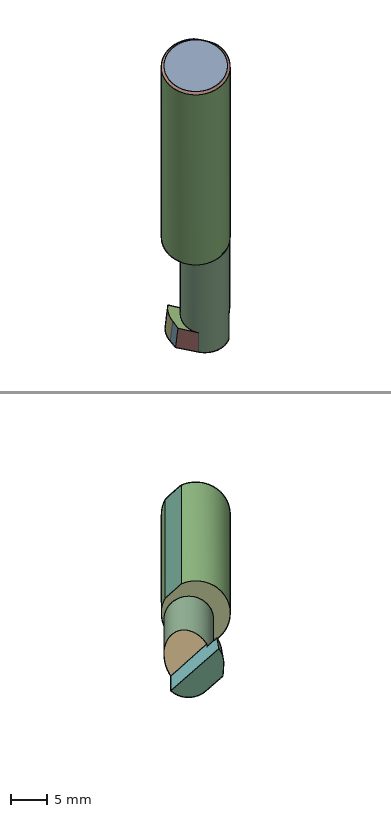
import cadquery as cq
import math

total_length = 63.5

shank_diameter = 9.5
shank_flat_y = 4.5
shank_chamfer_width = 0.4
shank_chamfer_height = 0.25

neck_length = 22.85
neck_diameter = 6.85
neck_radius = neck_diameter / 2
neck_x = shank_diameter / 2 - neck_radius

relief_height = 6.35

head_height = 5.2
tip_x = -4.4
heel_x = -3.0
heel_y = -2.5
front_corner_x = -2.0
flank_bulge = 0.25
flank_setback = 0.4
end_rise_along_x_deg = 2.5
end_rise_along_y_deg = 6.0


def make_shank():
    shank_length = total_length - neck_length
    shank = (
        cq.Workplane("XY", origin=(0, 0, neck_length))
        .circle(shank_diameter / 2)
        .extrude(shank_length)
        .faces(">Z")
        .chamfer(shank_chamfer_height, shank_chamfer_width)
    )
    flat_cutter = cq.Workplane("XY", origin=(0, shank_flat_y, neck_length)).box(
        shank_diameter, shank_diameter, shank_length, centered=(True, False, False)
    )
    return shank.cut(flat_cutter)


def make_neck():
    neck = cq.Workplane("XY").center(neck_x, 0).circle(neck_radius).extrude(neck_length)
    relief = (
        cq.Workplane("YZ", origin=(neck_x, 0, 0))
        .moveTo(0, 0)
        .lineTo(neck_diameter, 0)
        .lineTo(neck_diameter, relief_height + neck_diameter)
        .lineTo(0, relief_height)
        .close()
        .extrude(neck_radius, both=True)
    )
    return neck.cut(relief)


def head_section(height, setback):
    """Closed head outline whose flank is moved toward +X by the setback."""
    tip = cq.Vector(tip_x + setback, 0, height)
    heel = cq.Vector(heel_x + setback, heel_y, height)
    front_corner = cq.Vector(front_corner_x + setback, -neck_radius, height)
    neck_front = cq.Vector(neck_x, -neck_radius, height)
    neck_middle = cq.Vector(neck_x, 0, height)
    chord = heel - tip
    outward = cq.Vector(chord.y, -chord.x, 0).normalized()
    flank_middle = (tip + heel) * 0.5 + outward * flank_bulge
    return cq.Wire.assembleEdges([
        cq.Edge.makeThreePointArc(tip, flank_middle, heel),
        cq.Edge.makeLine(heel, front_corner),
        cq.Edge.makeLine(front_corner, neck_front),
        cq.Edge.makeLine(neck_front, neck_middle),
        cq.Edge.makeLine(neck_middle, tip),
    ])


def make_head():
    sections = [head_section(0, 0), head_section(head_height, flank_setback)]
    return cq.Workplane(obj=cq.Solid.makeLoft(sections, True))


def make_end_cutter():
    """Block under the sloping end face, which rises away from the tip."""
    slope_x = math.tan(math.radians(end_rise_along_x_deg))
    slope_y = math.tan(math.radians(end_rise_along_y_deg))
    end_plane = cq.Plane(
        origin=(tip_x, 0, 0), xDir=(1, 0, slope_x), normal=(-slope_x, slope_y, 1)
    )
    block_size = 3 * shank_diameter
    return cq.Workplane(end_plane).rect(block_size, block_size).extrude(-shank_diameter)


result = make_shank().union(make_neck()).union(make_head()).cut(make_end_cutter())